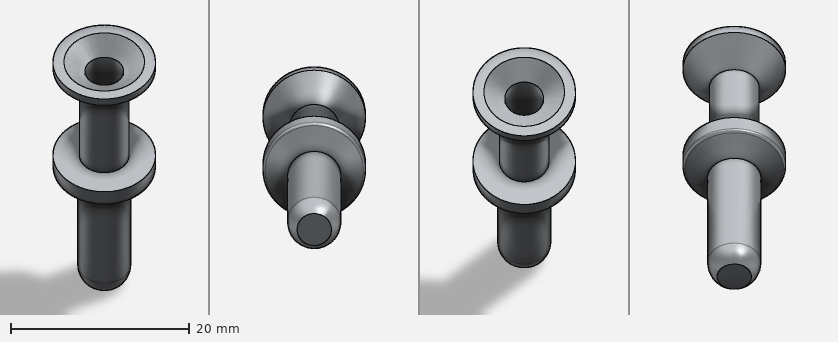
import cadquery as cq

total_length = 35.0
flange_diameter = 11.5
flange_radius = flange_diameter / 2

shaft_diameter = 6.0
shaft_radius = shaft_diameter / 2
tip_length = 2.3
tip_flat_radius = 1.92
tip_arc_radius = shaft_radius

collar_top = 20.0
collar_rim_height = 2.1
collar_height = 3.75
collar_edge_fillet = 0.5

neck_radius = 2.8
head_rim_height = 1.0
head_cone_height = flange_radius - neck_radius

funnel_radius = 4.5
bore_radius = 2.17
funnel_depth = 1.5
bore_depth = 14.0
drill_point_height = bore_radius


def make_body():
    """Revolve the outer profile, from the tip up to the head, about Z."""
    rim_bottom = collar_top - collar_rim_height
    head_rim_bottom = total_length - head_rim_height
    return (
        cq.Workplane("XZ")
        .lineTo(tip_flat_radius, 0)
        .radiusArc((shaft_radius, tip_length), -tip_arc_radius)
        .lineTo(shaft_radius, collar_top - collar_height)
        .lineTo(flange_radius, rim_bottom)
        .lineTo(flange_radius, collar_top)
        .lineTo(neck_radius, collar_top)
        .lineTo(neck_radius, head_rim_bottom - head_cone_height)
        .lineTo(flange_radius, head_rim_bottom)
        .lineTo(flange_radius, total_length)
        .lineTo(0, total_length)
        .close()
        .revolve(360, (0, 0, 0), (0, 1, 0))
    )


def round_collar_edge(body):
    """Round the edge between the collar's rim and its conical underside."""
    rim_bottom = collar_top - collar_rim_height
    margin = 0.05
    edge_zone = cq.selectors.BoxSelector(
        (-2 * flange_radius, -2 * flange_radius, rim_bottom - margin),
        (2 * flange_radius, 2 * flange_radius, rim_bottom + margin),
    )
    return body.edges("%CIRCLE").edges(edge_zone).fillet(collar_edge_fillet)


def make_bore():
    """Revolve the funnel, the bore and its conical end about Z."""
    bore_bottom = total_length - bore_depth
    return (
        cq.Workplane("XZ")
        .moveTo(0, total_length)
        .lineTo(funnel_radius, total_length)
        .lineTo(bore_radius, total_length - funnel_depth)
        .lineTo(bore_radius, bore_bottom)
        .lineTo(0, bore_bottom - drill_point_height)
        .close()
        .revolve(360, (0, 0, 0), (0, 1, 0))
    )


result = round_collar_edge(make_body()).cut(make_bore())